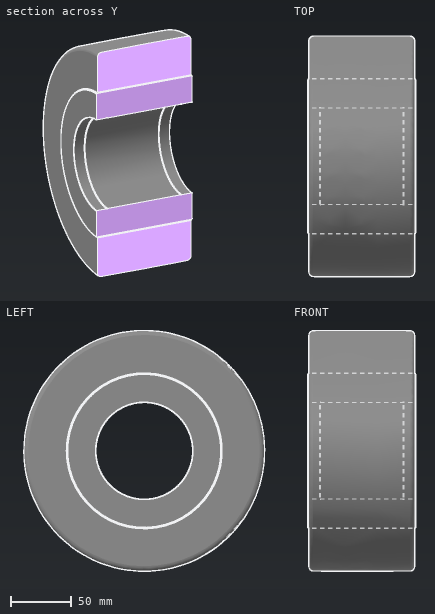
import cadquery as cq

roller_diameter = 200.0
roller_width = 88.0
roller_edge_radius = 4.0
roller_crown_height = 0.2
roller_bore_diameter = 129.0

hub_diameter = 128.0
hub_width = 90.0
hub_edge_chamfer = 0.5

bore_diameter = 80.0
bore_end_diameter = 80.2
bore_end_depth = 10.0
bore_mouth_chamfer = 0.5

bore_groove_diameter = 81.0
bore_groove_width = 0.5


def cylinder(diameter, start, length):
    """Solid cylinder along +X, starting at x = start."""
    return cq.Workplane("YZ").workplane(offset=start).circle(diameter / 2).extrude(length)


def make_roller():
    """Outer roller with a slightly crowned rim, rounded edges and a plain bore that clears the hub."""
    half_width = roller_width / 2
    middle_radius = roller_diameter / 2
    end_radius = middle_radius - roller_crown_height
    bore_radius = roller_bore_diameter / 2
    profile = (
        cq.Workplane("XY")
        .moveTo(-half_width, bore_radius)
        .lineTo(-half_width, end_radius)
        .threePointArc((0, middle_radius), (half_width, end_radius))
        .lineTo(half_width, bore_radius)
        .close()
    )
    body = profile.revolve(360, (0, 0, 0), (1, 0, 0))
    rim_edges = cq.selectors.RadiusNthSelector(-1)
    return body.faces("<X or >X").edges(rim_edges).fillet(roller_edge_radius)


def bore_end(side):
    """Wider bore stretch, its mouth chamfer and its groove, at the -X (side -1) or +X (side 1) end."""
    half_width = hub_width / 2
    end_radius = bore_end_diameter / 2
    mouth_radius = end_radius + bore_mouth_chamfer
    groove_radius = bore_groove_diameter / 2
    groove_outer = half_width - bore_end_depth
    groove_inner = groove_outer - bore_groove_width
    profile = (
        cq.Workplane("XY")
        .moveTo(side * half_width, 0)
        .lineTo(side * half_width, mouth_radius)
        .lineTo(side * (half_width - bore_mouth_chamfer), end_radius)
        .lineTo(side * groove_outer, end_radius)
        .lineTo(side * groove_outer, groove_radius)
        .lineTo(side * groove_inner, groove_radius)
        .lineTo(side * groove_inner, 0)
        .close()
    )
    return profile.revolve(360, (0, 0, 0), (1, 0, 0))


def make_hub():
    """Inner hub that stands slightly proud of the roller at both ends."""
    body = cylinder(hub_diameter, -hub_width / 2, hub_width)
    body = body.edges().chamfer(hub_edge_chamfer)
    body = body.cut(cylinder(bore_diameter, -hub_width / 2, hub_width))
    for side in (-1, 1):
        body = body.cut(bore_end(side))
    return body


roller = make_roller()
hub = make_hub()

result = cq.Compound.makeCompound([roller.val(), hub.val()])